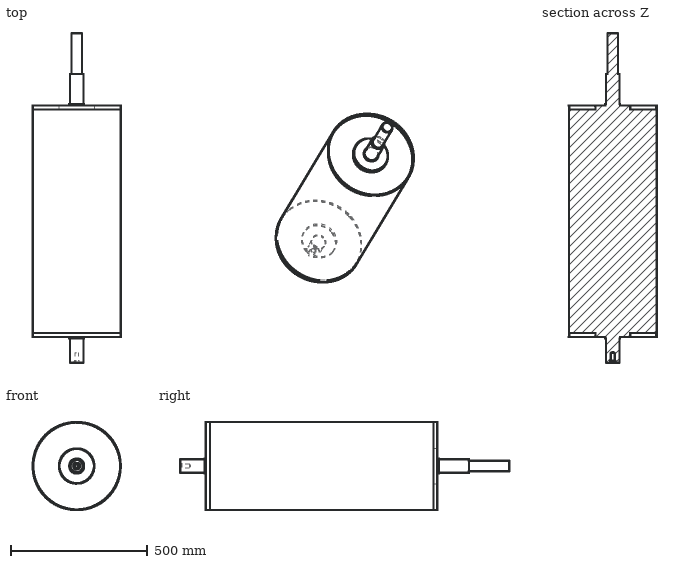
import cadquery as cq
import math

DRUM_DIAMETER = 324.0
RECESS_DIAMETER = 318.0
DRUM_LENGTH = 850.0
RECESS_DEPTH = 15.0

HUB_DIAMETER = 130.0
HUB_CHAMFER = 2.0

TOTAL_LENGTH = 1210.0
FRONT_STUB_LENGTH = 95.0
JOURNAL_DIAMETER = 50.0
DRIVE_END_DIAMETER = 40.0
DRIVE_END_LENGTH = 150.0
SHAFT_CHAMFER = 2.0
COLLAR_DIAMETER = 55.0
COLLAR_PROJECTION = 5.0

HOLE_DIAMETER = 13.84
HOLE_DEPTH = 36.0
DRILL_POINT_ANGLE = 120.0
RELIEF_DIAMETER = 17.0
RELIEF_DEPTH = 9.0
COUNTERSINK_DIAMETER = 24.0
COUNTERSINK_ANGLE = 60.0

SHAFT_FRONT = -TOTAL_LENGTH / 2
SHAFT_BACK = TOTAL_LENGTH / 2
DRIVE_END_START = SHAFT_BACK - DRIVE_END_LENGTH
DRUM_FRONT = SHAFT_FRONT + FRONT_STUB_LENGTH
DRUM_BACK = DRUM_FRONT + DRUM_LENGTH


def cylinder(diameter, y_start, y_end):
    """Solid cylinder on the Y axis between two stations."""
    plane = cq.Plane(origin=(0, y_start, 0), xDir=(1, 0, 0), normal=(0, 1, 0))
    return cq.Workplane(plane).circle(diameter / 2).extrude(y_end - y_start)


def pointed_cone(diameter, included_angle, y_base):
    """Cone on the Y axis with its base at a station and its point toward +Y."""
    radius = diameter / 2
    height = radius / math.tan(math.radians(included_angle / 2))
    cone = cq.Solid.makeCone(radius, 0, height, cq.Vector(0, y_base, 0), cq.Vector(0, 1, 0))
    return cq.Workplane(cone)


def make_drum():
    """Drum body with a shallow round recess in each end."""
    drum = cylinder(DRUM_DIAMETER, DRUM_FRONT, DRUM_BACK)
    front_recess = cylinder(RECESS_DIAMETER, DRUM_FRONT, DRUM_FRONT + RECESS_DEPTH)
    back_recess = cylinder(RECESS_DIAMETER, DRUM_BACK - RECESS_DEPTH, DRUM_BACK)
    return drum.cut(front_recess).cut(back_recess)


def make_hubs():
    """Both hubs, as one cylinder through the drum with chamfered ends."""
    return cylinder(HUB_DIAMETER, DRUM_FRONT, DRUM_BACK).faces("<Y or >Y").chamfer(HUB_CHAMFER)


def make_shaft():
    """Journal, collars and thinner drive end, chamfered at both tips."""
    journal = cylinder(JOURNAL_DIAMETER, SHAFT_FRONT, DRIVE_END_START)
    journal = journal.faces("<Y").chamfer(SHAFT_CHAMFER)
    drive_end = cylinder(DRIVE_END_DIAMETER, DRIVE_END_START, SHAFT_BACK)
    drive_end = drive_end.faces(">Y").chamfer(SHAFT_CHAMFER)
    collars = cylinder(COLLAR_DIAMETER, DRUM_FRONT - COLLAR_PROJECTION, DRUM_BACK + COLLAR_PROJECTION)
    return journal.union(drive_end).union(collars)


def make_center_hole():
    """Drilled hole with a conical bottom, a wider relief and a countersunk mouth."""
    hole_end = SHAFT_FRONT + HOLE_DEPTH
    hole = cylinder(HOLE_DIAMETER, SHAFT_FRONT, hole_end)
    drill_point = pointed_cone(HOLE_DIAMETER, DRILL_POINT_ANGLE, hole_end)
    relief = cylinder(RELIEF_DIAMETER, SHAFT_FRONT, SHAFT_FRONT + RELIEF_DEPTH)
    countersink = pointed_cone(COUNTERSINK_DIAMETER, COUNTERSINK_ANGLE, SHAFT_FRONT)
    return hole.union(drill_point).union(relief).union(countersink)


result = make_drum().union(make_hubs()).union(make_shaft()).cut(make_center_hole())